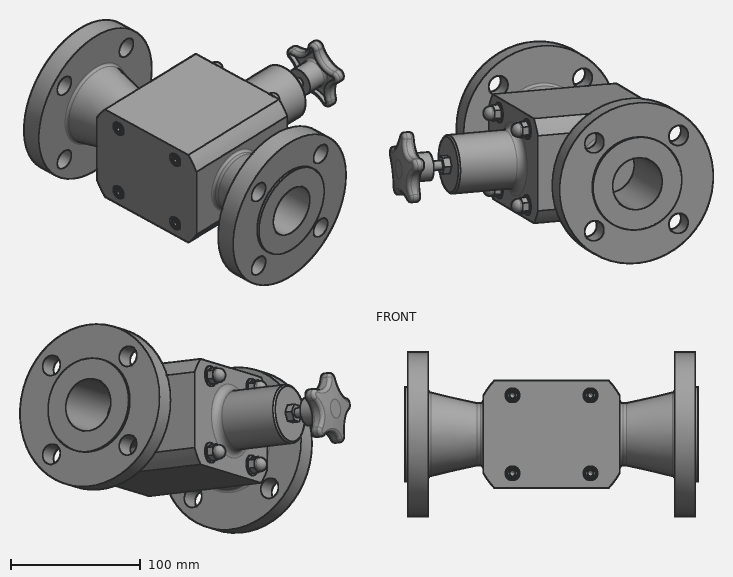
import cadquery as cq
import math


overall_length = 226.0
raised_face_diameter = 73.2
raised_face_height = 2.0
flange_diameter = 127.0
flange_thickness = 16.0
flange_hole_diameter = 15.8
flange_hole_offset = 34.8
hub_large_diameter = 64.6
hub_fillet = 2.0
neck_diameter = 48.3
neck_length = 3.0
bore_diameter = 41.0

block_width = 105.5
block_height = 83.0
block_corner_diameter = 121.0
block_front = -43.0
block_back = 59.0

bonnet_diameter = 45.6
bonnet_top = 112.7
bonnet_chamfer = 1.4
bonnet_root_fillet = 5.9

bolt_offset = 30.0
washer_diameter = 15.8
washer_thickness = 0.7
nut_flats = 11.0
nut_height = 5.2
cap_cylinder_height = 1.5
counterbore_diameter = 11.0
counterbore_depth = 5.5
screw_head_diameter = 9.5
screw_head_rim_diameter = 7.5
socket_flats = 4.5
socket_depth = 2.7
socket_point_depth = 1.4

stem_diameter = 7.5
gland_flats = 12.7
gland_height = 6.0

wheel_hub_diameter = 22.1
wheel_hub_start = 128.8
wheel_start = 142.0
wheel_top = 153.9
wheel_rim_height = 8.8
wheel_flat_diameter = 14.7
arm_count = 5
arm_tip_radius = 5.0
arm_tip_center = 23.5
valley_inner_radius = 18.3
wheel_edge_fillet = 3.0
wheel_rim_wall = 3.5
wheel_recess_depth = 4.0
wheel_hub_root_fillet = 2.0

half_length = overall_length / 2
flange_face = half_length - raised_face_height
flange_back = flange_face - flange_thickness
block_side = block_width / 2
nut_start = block_back + washer_thickness
cap_start = nut_start + nut_height
bolt_places = [(x, z) for x in (-bolt_offset, bolt_offset) for z in (-bolt_offset, bolt_offset)]


def plane_at(y, x=0, z=0):
    """Workplane at height y whose normal is +Y and whose local X is world X."""
    return cq.Workplane(cq.Plane(origin=(x, y, z), xDir=(1, 0, 0), normal=(0, 1, 0)))


def cylinder(start, end, diameter, x=0, z=0):
    """Cylinder along Y."""
    return plane_at(start, x, z).circle(diameter / 2).extrude(end - start)


def hexagon(start, end, flats, turn, x=0, z=0):
    """Hexagonal prism along Y: turn 0 points a corner along X, turn 90 points one along Z."""
    corners = flats / math.cos(math.pi / 6)
    prism = plane_at(start, x, z).polygon(6, corners).extrude(end - start)
    return prism.rotate((x, 0, z), (x, 1, z), turn)


def flared_cylinder(root, end, diameter, fillet):
    """Cylinder along Y, from root to end in either direction, with a concave flare at its root."""
    radius = diameter / 2
    outward = math.copysign(fillet, end - root)
    bend = 1 - math.sqrt(0.5)
    return (
        cq.Workplane("XY")
        .moveTo(0, root)
        .lineTo(radius + fillet, root)
        .threePointArc((radius + fillet * bend, root + outward * bend), (radius, root + outward))
        .lineTo(radius, end)
        .lineTo(0, end)
        .close()
        .revolve(360, (0, 0, 0), (0, 1, 0))
    )


def make_pipe_end():
    """Flange with raised face, tapered hub and neck on the +X side."""
    neck_radius = neck_diameter / 2
    neck_start = block_side + hub_fillet
    taper_start = neck_start + neck_length
    taper_end = flange_back - hub_fillet
    hub_radius = hub_large_diameter / 2
    bend = 1 - math.sqrt(0.5)
    pipe_end = (
        cq.Workplane("XY")
        .moveTo(0, 0)
        .lineTo(0, neck_radius + hub_fillet)
        .lineTo(block_side, neck_radius + hub_fillet)
        .threePointArc(
            (block_side + hub_fillet * bend, neck_radius + hub_fillet * bend),
            (neck_start, neck_radius),
        )
        .lineTo(taper_start, neck_radius)
        .lineTo(taper_end, hub_radius)
        .threePointArc(
            (flange_back - hub_fillet * bend, hub_radius + hub_fillet * bend),
            (flange_back, hub_radius + hub_fillet),
        )
        .lineTo(flange_back, flange_diameter / 2)
        .lineTo(flange_face, flange_diameter / 2)
        .lineTo(flange_face, raised_face_diameter / 2)
        .lineTo(half_length, raised_face_diameter / 2)
        .lineTo(half_length, 0)
        .close()
        .revolve(360, (0, 0, 0), (1, 0, 0))
    )
    holes = (
        cq.Workplane("YZ", origin=(flange_back, 0, 0))
        .rect(2 * flange_hole_offset, 2 * flange_hole_offset, forConstruction=True)
        .vertices()
        .circle(flange_hole_diameter / 2)
        .extrude(flange_thickness)
    )
    return pipe_end.cut(holes)


def make_bore():
    """Blind bore from the +X raised face to the side of the block."""
    bore = cq.Workplane("YZ", origin=(block_side, 0, 0)).circle(bore_diameter / 2)
    return bore.extrude(half_length - block_side)


def make_block():
    """Rectangular block whose long edges are turned down to a common cylinder."""
    depth = block_back - block_front
    box = plane_at(block_front).rect(block_width, block_height).extrude(depth)
    return box.intersect(cylinder(block_front, block_back, block_corner_diameter))


def make_bonnet():
    """Flared cylinder with a chamfered top."""
    bonnet = flared_cylinder(block_back, bonnet_top, bonnet_diameter, bonnet_root_fillet)
    return bonnet.faces(">Y").chamfer(bonnet_chamfer)


def make_cap_nut(x, z):
    """Washer, hexagon and domed cap on the back of the block."""
    cap_radius = nut_flats / 2
    dome_center = cap_start + cap_cylinder_height
    washer = cylinder(block_back, nut_start, washer_diameter, x, z)
    nut = hexagon(nut_start, cap_start, nut_flats, 90, x, z)
    cap = cylinder(cap_start, dome_center, nut_flats, x, z)
    dome = cq.Workplane("XY").sphere(cap_radius).translate((x, dome_center, z))
    return washer.union(nut).union(cap).union(dome)


def make_screw_recess(x, z):
    """Space around and inside a socket screw head that sits flush in its counterbore."""
    recess_floor = block_front + counterbore_depth
    socket_floor = block_front + socket_depth
    head_chamfer = (screw_head_diameter - screw_head_rim_diameter) / 2
    head = cylinder(block_front, recess_floor, screw_head_diameter, x, z)
    head = head.faces("<Y").chamfer(head_chamfer)
    socket = hexagon(block_front, socket_floor, socket_flats, 90, x, z)
    point = cq.Workplane(
        cq.Solid.makeCone(
            socket_flats / 2, 0, socket_point_depth, cq.Vector(x, socket_floor, z), cq.Vector(0, 1, 0)
        )
    )
    recess = cylinder(block_front, recess_floor, counterbore_diameter, x, z).cut(head)
    return recess.union(socket.union(point))


def make_stem():
    """Stem with the gland nut it passes through."""
    stem = cylinder(bonnet_top, wheel_hub_start, stem_diameter)
    gland = hexagon(bonnet_top, bonnet_top + gland_height, gland_flats, 0)
    return stem.union(gland)


def polar(radius, angle):
    return (radius * math.cos(angle), radius * math.sin(angle))


def make_star(inset, height):
    """Star prism from the wheel's underside: round arm tips joined by tangent concave arcs.

    The outline lies inset inside the wheel's own outline. One arm points along +Z.
    """
    tip_radius = arm_tip_radius - inset
    valley_depth = valley_inner_radius - inset
    half_step = math.pi / arm_count
    radius_gap = tip_radius - valley_depth
    valley_center = (arm_tip_center**2 - radius_gap**2) / (
        2 * (arm_tip_center * math.cos(half_step) + radius_gap)
    )
    valley_radius = valley_center - valley_depth
    share = tip_radius / (tip_radius + valley_radius)
    tangent_along = arm_tip_center + share * (valley_center * math.cos(half_step) - arm_tip_center)
    tangent_across = share * valley_center * math.sin(half_step)
    tangent_reach = math.hypot(tangent_along, tangent_across)
    tangent_angle = math.atan2(tangent_across, tangent_along)

    first_angle = -math.pi / 2
    outline = plane_at(wheel_start).moveTo(*polar(tangent_reach, first_angle - tangent_angle))
    for arm in range(arm_count):
        angle = first_angle + 2 * half_step * arm
        next_angle = angle + 2 * half_step
        outline = outline.threePointArc(
            polar(arm_tip_center + tip_radius, angle), polar(tangent_reach, angle + tangent_angle)
        )
        outline = outline.threePointArc(
            polar(valley_depth, angle + half_step), polar(tangent_reach, next_angle - tangent_angle)
        )
    return outline.close().extrude(height)


def make_wheel():
    """Domed star handwheel, hollow underneath, with its hub."""
    flat_radius = wheel_flat_diameter / 2
    arm_reach = arm_tip_center + arm_tip_radius
    rim_top = wheel_start + wheel_rim_height
    dome_drop = wheel_top - rim_top
    center_depth = (arm_reach**2 - flat_radius**2 - dome_drop**2) / (2 * dome_drop)
    dome_radius = math.hypot(arm_reach, center_depth)
    dome = cq.Workplane("XY").sphere(dome_radius).translate((0, rim_top - center_depth, 0))
    wheel = make_star(0, wheel_top - wheel_start).intersect(dome)

    wheel = wheel.faces("<Y").edges().fillet(wheel_edge_fillet)
    wheel = wheel.edges("%BSPLINE").fillet(wheel_edge_fillet)

    wheel = wheel.cut(make_star(wheel_rim_wall, wheel_recess_depth))
    recess_floor = wheel_start + wheel_recess_depth
    hub = flared_cylinder(recess_floor, wheel_hub_start, wheel_hub_diameter, wheel_hub_root_fillet)
    return wheel.union(hub)


pipe_end = make_pipe_end()
bore = make_bore()

result = make_block().union(pipe_end).union(pipe_end.mirror("YZ"))
result = result.cut(bore).cut(bore.mirror("YZ"))
result = result.union(make_bonnet()).union(make_stem()).union(make_wheel())
for bolt_x, bolt_z in bolt_places:
    result = result.union(make_cap_nut(bolt_x, bolt_z))
    result = result.cut(make_screw_recess(bolt_x, bolt_z))